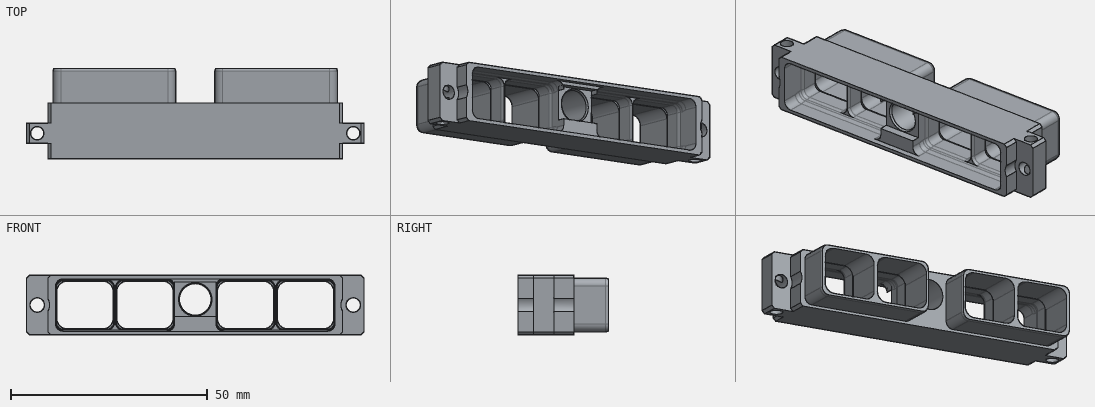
import cadquery as cq

LENGTH = 85.88
DEPTH = 23.03
HEIGHT = 15.16

BODY_LENGTH = 75.0
BODY_DEPTH = 14.23
EAR_FRONT = 3.9
EAR_THICKNESS = 5.2
EDGE_CHAMFER = 0.75

EAR_HOLE_X = 40.2
EAR_HOLE_DIAMETER = 3.3
SCREW_HOLE_DIAMETER = 3.6
SCREW_HEAD_RADIUS = 3.15

TOWER_INNER_X = 4.95
TOWER_OUTER_X = 36.2
TOWER_HEIGHT = 13.74
TOWER_CORNER_RADIUS = 2.0
TOWER_TIP_INSET = 0.2
TOWER_TIP_LENGTH = 0.75

WINDOW_PITCH = 15.26
DIVIDER_THICKNESS = 0.2
ENTRY_HEIGHT = 12.8
ENTRY_RADIUS = 2.0
ENTRY_DEPTH = 6.6
LEAD_IN_INSET = 0.23
LEAD_IN_LENGTH = 1.0
SHOULDER_DEPTH = 11.8
SHOULDER_WIDTH = 0.17
REAR_OPENING_RADIUS = 2.5

POCKET_CENTRE_X = 20.42
POCKET_HEIGHT = 13.36
POCKET_STRAIGHT_DEPTH = 4.35
POCKET_SLOPE_LENGTH = 1.4

LEDGE_FRONT = 1.65
CENTRE_WALL_FRONT = 3.9
CENTRE_Z = 1.42
CENTRE_RECESS_HEIGHT = 8.8
CENTRE_HOLE_RADIUS = 4.0
CENTRE_HOLE_CHAMFER = 0.25
CENTRE_HOLE_CHAMFER_DEPTH = 0.6

ear_end = EAR_FRONT + EAR_THICKNESS
entry_length = WINDOW_PITCH - DIVIDER_THICKNESS
pocket_length = WINDOW_PITCH + entry_length
tower_centre = (TOWER_INNER_X + TOWER_OUTER_X) / 2
tower_length = TOWER_OUTER_X - TOWER_INNER_X
SIDES = (-1, 1)


def box(x_size, y_start, y_end, z_size, x=0.0, z=0.0):
    """Box centred on x and z, running from y_start to y_end."""
    return cq.Workplane("XY").box(x_size, y_end - y_start, z_size).translate((x, (y_start + y_end) / 2, z))


def inset(size, margin):
    """Shrink an (x, z) size by a margin on every side."""
    return (size[0] - 2 * margin, size[1] - 2 * margin)


def rounded_prism(x_size, z_size, radius, y_start, y_end, x):
    """Prism along Y with rounded corners."""
    return box(x_size, y_start, y_end, z_size, x).edges("|Y").fillet(radius)


def rounded_taper(first_size, first_radius, last_size, last_radius, y_start, y_end, x):
    """Loft along Y between two rounded rectangles, each sized (x, z)."""
    plane = cq.Plane(origin=(x, y_start, 0), xDir=(1, 0, 0), normal=(0, -1, 0))
    first = cq.Sketch().rect(*first_size).vertices().fillet(first_radius)
    last = cq.Sketch().rect(*last_size).vertices().fillet(last_radius)
    last = last.moved(cq.Location(cq.Vector(0, 0, y_start - y_end)))
    return cq.Workplane(plane).placeSketch(first, last).loft()


def cylinder_y(radius, y_start, y_end, x, z=0.0):
    """Cylinder along Y."""
    return cq.Workplane("XZ", origin=(x, y_start, z)).circle(radius).extrude(y_start - y_end)


def make_body():
    """Chamfered body with the full-height mounting ears."""
    body = box(BODY_LENGTH, 0, BODY_DEPTH, HEIGHT).edges("|Y").chamfer(EDGE_CHAMFER)
    ears = box(LENGTH, EAR_FRONT, ear_end, HEIGHT).edges("|Y").chamfer(EDGE_CHAMFER)
    return body.union(ears)


def make_tower(side):
    """Tower with rounded long edges and a slightly tapered tip."""
    x = side * tower_centre
    tip_start = DEPTH - TOWER_TIP_LENGTH
    full_size = (tower_length, TOWER_HEIGHT)
    tip_size = inset(full_size, TOWER_TIP_INSET)
    tip_radius = TOWER_CORNER_RADIUS - TOWER_TIP_INSET
    shaft = rounded_prism(*full_size, TOWER_CORNER_RADIUS, BODY_DEPTH, tip_start, x)
    tip = rounded_taper(full_size, TOWER_CORNER_RADIUS, tip_size, tip_radius, tip_start, DEPTH, x)
    return shaft.union(tip)


def make_window(x):
    """Cutter for one window, from its lead-in to the rear opening."""
    entry_size = (entry_length, ENTRY_HEIGHT)
    seat_size = inset(entry_size, LEAD_IN_INSET)
    seat_radius = ENTRY_RADIUS - LEAD_IN_INSET
    seat_start = ENTRY_DEPTH + LEAD_IN_LENGTH
    opening_size = inset(seat_size, SHOULDER_WIDTH)
    lead_in = rounded_taper(entry_size, ENTRY_RADIUS, seat_size, seat_radius, ENTRY_DEPTH, seat_start, x)
    seat = rounded_prism(*seat_size, seat_radius, seat_start, SHOULDER_DEPTH, x)
    opening = rounded_prism(*opening_size, REAR_OPENING_RADIUS, SHOULDER_DEPTH, DEPTH, x)
    return lead_in.union(seat).union(opening)


def make_pocket(side):
    """Cutter for the pocket in front of one tower's windows."""
    x = side * POCKET_CENTRE_X
    mouth_size = (pocket_length, POCKET_HEIGHT)
    throat_size = (pocket_length, ENTRY_HEIGHT)
    slope_start = POCKET_STRAIGHT_DEPTH
    slope_end = slope_start + POCKET_SLOPE_LENGTH
    mouth = rounded_prism(*mouth_size, ENTRY_RADIUS, 0, slope_start, x)
    slope = rounded_taper(mouth_size, ENTRY_RADIUS, throat_size, ENTRY_RADIUS, slope_start, slope_end, x)
    throat = rounded_prism(*throat_size, ENTRY_RADIUS, slope_end, ENTRY_DEPTH, x)
    return mouth.union(slope).union(throat)


def make_centre_opening():
    """Cutter for the stepped channel and round hole between the pockets."""
    pocket_spacing = 2 * POCKET_CENTRE_X
    channel = box(pocket_spacing, 0, LEDGE_FRONT, POCKET_HEIGHT)
    clear_length = pocket_spacing - pocket_length
    recess = box(clear_length, LEDGE_FRONT, CENTRE_WALL_FRONT, CENTRE_RECESS_HEIGHT, z=CENTRE_Z)
    hole = cylinder_y(CENTRE_HOLE_RADIUS, CENTRE_WALL_FRONT, BODY_DEPTH, 0, CENTRE_Z)
    hole = hole.union(
        cq.Workplane("XZ", origin=(0, CENTRE_WALL_FRONT, CENTRE_Z))
        .circle(CENTRE_HOLE_RADIUS + CENTRE_HOLE_CHAMFER)
        .workplane(offset=-CENTRE_HOLE_CHAMFER_DEPTH)
        .circle(CENTRE_HOLE_RADIUS)
        .loft()
    )
    return channel.union(recess).union(hole)


def make_ear_cuts(side):
    """Cutter for one ear: crossing holes plus the screw-head grooves in the body side."""
    x = side * EAR_HOLE_X
    ear_middle = EAR_FRONT + EAR_THICKNESS / 2
    ear_base = cq.Workplane("XY", origin=(x, ear_middle, -HEIGHT / 2))
    upright = ear_base.circle(EAR_HOLE_DIAMETER / 2).extrude(HEIGHT)
    screw = cylinder_y(SCREW_HOLE_DIAMETER / 2, EAR_FRONT, ear_end, x)
    front_groove = cylinder_y(SCREW_HEAD_RADIUS, 0, EAR_FRONT, x)
    rear_groove = cylinder_y(SCREW_HEAD_RADIUS, ear_end, BODY_DEPTH, x)
    return upright.union(screw).union(front_groove).union(rear_groove)


part = make_body()
for side in SIDES:
    part = part.union(make_tower(side))
for side in SIDES:
    part = part.cut(make_pocket(side))
    for offset in SIDES:
        part = part.cut(make_window(side * POCKET_CENTRE_X + offset * WINDOW_PITCH / 2))
    part = part.cut(make_ear_cuts(side))
result = part.cut(make_centre_opening())